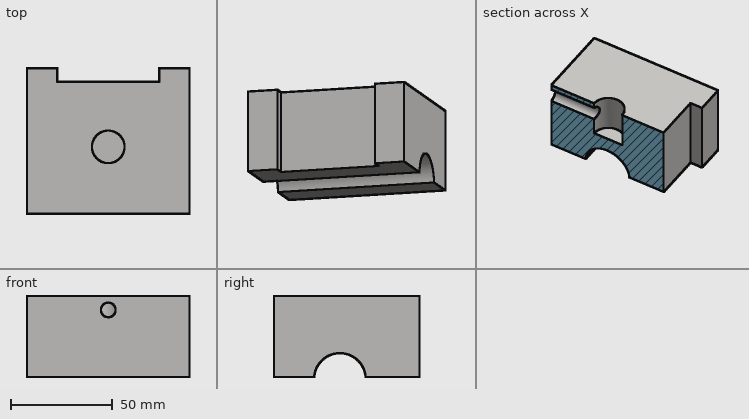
import cadquery as cq

width = 80.0
depth = 71.7
height = 40.0

notch_width = 50.0
notch_depth = 6.6

bore_diameter = 16.0
bore_depth = 20.0
bore_y = 33.0

cross_hole_diameter = 7.2
cross_hole_drop = 7.0

groove_y = 32.5
groove_width = 25.2
groove_height = 11.8


def make_block():
    return cq.Workplane("XY").box(width, depth, height, centered=(True, False, False))


def make_notch():
    notch = cq.Workplane("XY").box(notch_width, notch_depth, height, centered=(True, False, False))
    return notch.translate((0, depth - notch_depth, 0))


def make_bore():
    top = cq.Workplane("XY", origin=(0, bore_y, height))
    return top.circle(bore_diameter / 2).extrude(-bore_depth)


def make_cross_hole():
    front = cq.Workplane("XZ", origin=(0, 0, height - cross_hole_drop))
    return front.circle(cross_hole_diameter / 2).extrude(-bore_y)


def make_groove():
    half_width = groove_width / 2
    return (
        cq.Workplane("YZ", origin=(-width / 2, 0, 0))
        .moveTo(groove_y - half_width, 0)
        .threePointArc((groove_y, groove_height), (groove_y + half_width, 0))
        .close()
        .extrude(width)
    )


result = make_block().cut(make_notch()).cut(make_bore()).cut(make_cross_hole()).cut(make_groove())